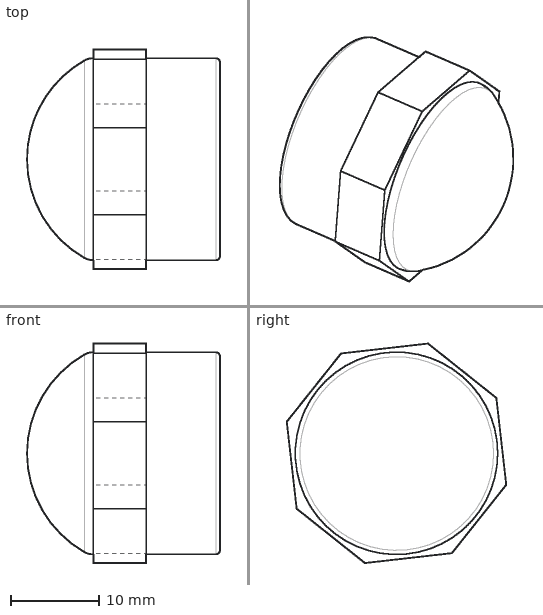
import cadquery as cq
import math

body_diameter = 23.0
overall_length = 21.95
dome_radius = 12.93
rim_fillet = 2.0
cap_height = 7.55
nut_thickness = 6.0
nut_across_flats = 23.99
nut_sides = 8
nut_corner_angle = 29.0
collar_fillet = 0.5

body_radius = body_diameter / 2
collar_length = overall_length - cap_height - nut_thickness


def make_cap():
    """Revolve the dome, its rounded rim and the flat seat about X."""
    apex_x = -cap_height
    dome_center_x = apex_x + dome_radius

    rim_center_r = body_radius - rim_fillet
    center_distance = dome_radius - rim_fillet
    tangent_angle = math.asin(rim_center_r / center_distance)
    rim_center_x = dome_center_x - center_distance * math.cos(tangent_angle)

    def dome_point(angle):
        return (dome_center_x - dome_radius * math.cos(angle), dome_radius * math.sin(angle))

    def rim_point(angle):
        return (rim_center_x - rim_fillet * math.cos(angle), rim_center_r + rim_fillet * math.sin(angle))

    rim_middle_angle = (tangent_angle + math.pi / 2) / 2
    return (
        cq.Workplane("XY")
        .moveTo(apex_x, 0)
        .threePointArc(dome_point(tangent_angle / 2), dome_point(tangent_angle))
        .threePointArc(rim_point(rim_middle_angle), (rim_center_x, body_radius))
        .lineTo(0, body_radius)
        .lineTo(0, 0)
        .close()
        .revolve(360, (0, 0, 0), (1, 0, 0))
    )


def make_base():
    """Octagonal nut with a round collar behind it."""
    nut_across_corners = nut_across_flats / math.cos(math.pi / nut_sides)
    nut = (
        cq.Workplane("YZ")
        .polygon(nut_sides, nut_across_corners)
        .extrude(nut_thickness)
        .rotate((0, 0, 0), (1, 0, 0), nut_corner_angle)
    )
    collar = (
        cq.Workplane("YZ", origin=(nut_thickness, 0, 0))
        .circle(body_radius)
        .extrude(collar_length)
        .faces(">X")
        .edges()
        .fillet(collar_fillet)
    )
    return nut.union(collar)


cap = make_cap()
base = make_base()

result = cq.Compound.makeCompound([cap.val(), base.val()])